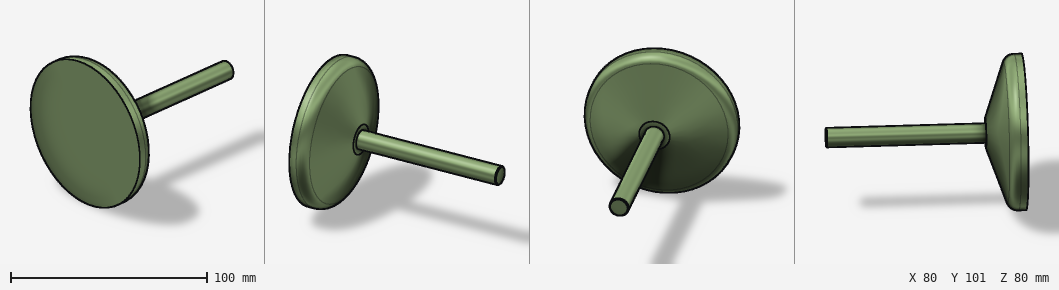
import cadquery as cq
import math

total_length = 101.0
pad_radius = 40.0
rim_height = 3.9
rim_round = 6.0
hub_radius = 8.0
hub_height = 19.5
stem_radius = 5.0
stem_chamfer = 0.5

centre_radius = pad_radius - rim_round
to_hub_radius = hub_radius - centre_radius
to_hub_height = hub_height - rim_height
hub_distance = math.hypot(to_hub_radius, to_hub_height)
hub_direction = math.atan2(to_hub_height, to_hub_radius)
tangent_angle = hub_direction - math.acos(rim_round / hub_distance)


def shoulder_point(angle):
    """Point of the shoulder arc, as (radius, height)."""
    return (
        centre_radius + rim_round * math.cos(angle),
        rim_height + rim_round * math.sin(angle),
    )


half_section = (
    cq.Workplane("ZY")
    .lineTo(pad_radius, 0)
    .lineTo(pad_radius, rim_height)
    .threePointArc(shoulder_point(tangent_angle / 2), shoulder_point(tangent_angle))
    .lineTo(hub_radius, hub_height)
    .lineTo(stem_radius, hub_height)
    .lineTo(stem_radius, total_length - stem_chamfer)
    .lineTo(stem_radius - stem_chamfer, total_length)
    .lineTo(0, total_length)
    .close()
)

result = half_section.revolve(360, (0, 0, 0), (0, 1, 0))